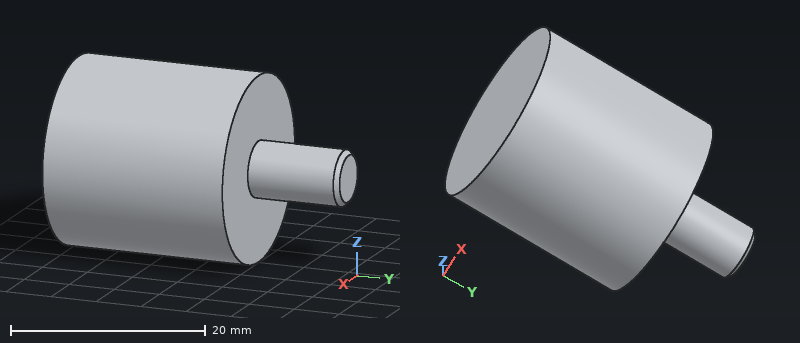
import cadquery as cq

body_diameter = 20.0
body_length = 20.0
stud_diameter = 6.0
stud_length = 10.0
stud_chamfer = 0.5


def cylinder_along_y(diameter, start_y, length):
    """Solid cylinder centred on the Y axis, from start_y toward +Y."""
    plane = cq.Plane(origin=(0, start_y, 0), xDir=(1, 0, 0), normal=(0, 1, 0))
    return cq.Workplane(plane).circle(diameter / 2).extrude(length)


def make_stud():
    """Stud on the +Y face of the body, chamfered at its free end."""
    stud = cylinder_along_y(stud_diameter, body_length, stud_length)
    return stud.faces(">Y").chamfer(stud_chamfer)


body = cylinder_along_y(body_diameter, 0, body_length)
result = body.union(make_stud())